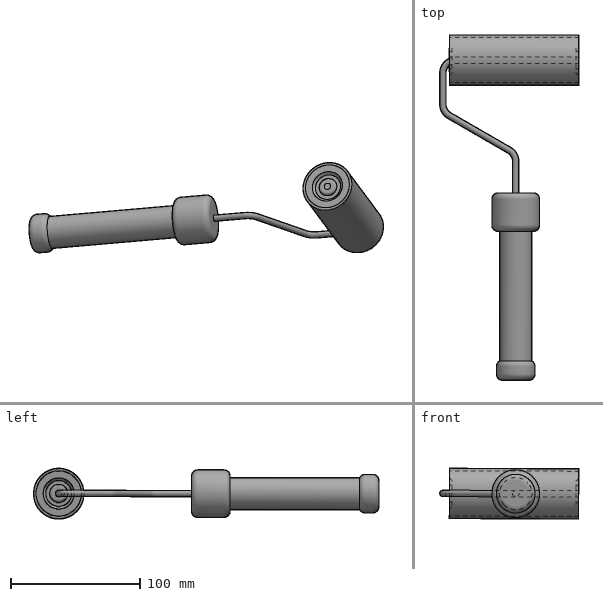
import cadquery as cq
import math

cap_diameter = 30
grip_start = 15
grip_diameter = 25
grip_length = 100
collar_diameter = 37
collar_length = 30
handle_fillet = 5
collar_start = grip_start + grip_length
handle_length = collar_start + collar_length

cap_step = (cap_diameter - grip_diameter) / 2
fillet_rise_at_grip = math.sqrt(handle_fillet**2 - (handle_fillet - cap_step) ** 2)
cap_length = grip_start - fillet_rise_at_grip + handle_fillet

wire_diameter = 5
wire_bend_radius = 10
wire_stem_length = 30
wire_slant_rise = 32.5
wire_slant_angle = 60
wire_arm_length = 40
wire_offset = wire_slant_rise * math.tan(math.radians(wire_slant_angle))
first_corner_y = handle_length + wire_stem_length
second_corner_y = first_corner_y + wire_slant_rise

roller_length = 100
sleeve_diameter = 39
core_diameter = 35
roller_gap = 5
roller_axis_y = second_corner_y + wire_arm_length
roller_start = roller_gap - wire_offset
roller_end = roller_start + roller_length

recess_depth = 2
recess_mouth_radius = 12
recess_floor_radius = 10
boss_radius = 7
boss_fillet = recess_depth

frame_tilt = 0.24


def rod(diameter, start, length):
    """Cylinder on the Y axis."""
    return cq.Workplane("XZ", origin=(0, start, 0)).circle(diameter / 2).extrude(-length)


def tilted(body):
    """Turn a body of the frame about the handle axis."""
    return body.rotate((0, 0, 0), (0, 1, 0), frame_tilt)


def make_handle():
    cap = rod(cap_diameter, 0, cap_length).edges().fillet(handle_fillet)
    collar = rod(collar_diameter, collar_start, collar_length).edges().fillet(handle_fillet)
    grip_inner_start = grip_start - handle_fillet
    grip_inner_end = collar_start + handle_fillet
    grip = rod(grip_diameter, grip_inner_start, grip_inner_end - grip_inner_start)
    return cap.union(grip).union(collar)


def make_wire():
    """Round wire swept from the collar face up to the roller and along its axis."""
    slant = math.radians(wire_slant_angle)
    setback = wire_bend_radius * math.tan(slant / 2)
    sideways = wire_bend_radius * (1 - math.cos(slant))
    forward = wire_bend_radius * math.sin(slant)
    first_bend_start = first_corner_y - setback
    second_bend_end = second_corner_y + setback
    path = (
        cq.Workplane("XY")
        .moveTo(0, handle_length)
        .lineTo(0, first_bend_start)
        .tangentArcPoint((-sideways, first_bend_start + forward), relative=False)
        .lineTo(sideways - wire_offset, second_bend_end - forward)
        .tangentArcPoint((-wire_offset, second_bend_end), relative=False)
        .lineTo(-wire_offset, roller_axis_y - wire_bend_radius)
        .tangentArcPoint((wire_bend_radius - wire_offset, roller_axis_y), relative=False)
        .lineTo(roller_end, roller_axis_y)
    )
    section = cq.Workplane("XZ", origin=(0, handle_length, 0)).circle(wire_diameter / 2)
    return section.sweep(path)


def roller_plane():
    """YZ plane at the near end of the roller, centred on its axis."""
    return cq.Workplane("YZ", origin=(roller_start, roller_axis_y, 0))


def make_end_recess():
    """Ring recess in the near end of the core; its half profile is (depth, radius)."""
    fillet_middle = boss_fillet * math.cos(math.radians(45))
    return (
        cq.Workplane("XY", origin=(roller_start, roller_axis_y, 0))
        .moveTo(0, recess_mouth_radius)
        .lineTo(recess_depth, recess_floor_radius)
        .lineTo(recess_depth, boss_radius)
        .threePointArc(
            (boss_fillet - fillet_middle, boss_radius - boss_fillet + fillet_middle),
            (0, boss_radius - boss_fillet),
        )
        .close()
        .revolve(360, (0, 0, 0), (1, 0, 0))
    )


def make_core(wire):
    """Core with a recess in both ends and a passage for the wire and its bend."""
    near_recess = make_end_recess()
    far_recess = near_recess.mirror("YZ", ((roller_start + roller_end) / 2, 0, 0))
    blank = roller_plane().circle(core_diameter / 2).extrude(roller_length)
    bore_mouth = roller_plane().circle(wire_diameter / 2).extrude(wire_bend_radius - roller_gap)
    return blank.cut(near_recess).cut(far_recess).cut(wire).cut(bore_mouth)


def make_sleeve():
    """Tube that covers the core."""
    return (
        roller_plane()
        .circle(sleeve_diameter / 2)
        .circle(core_diameter / 2)
        .extrude(roller_length)
    )


handle = make_handle()
straight_wire = make_wire()
wire = tilted(straight_wire)
core = tilted(make_core(straight_wire))
sleeve = tilted(make_sleeve())

bodies = [handle, wire, core, sleeve]
result = cq.Compound.makeCompound([body.solids().val() for body in bodies])